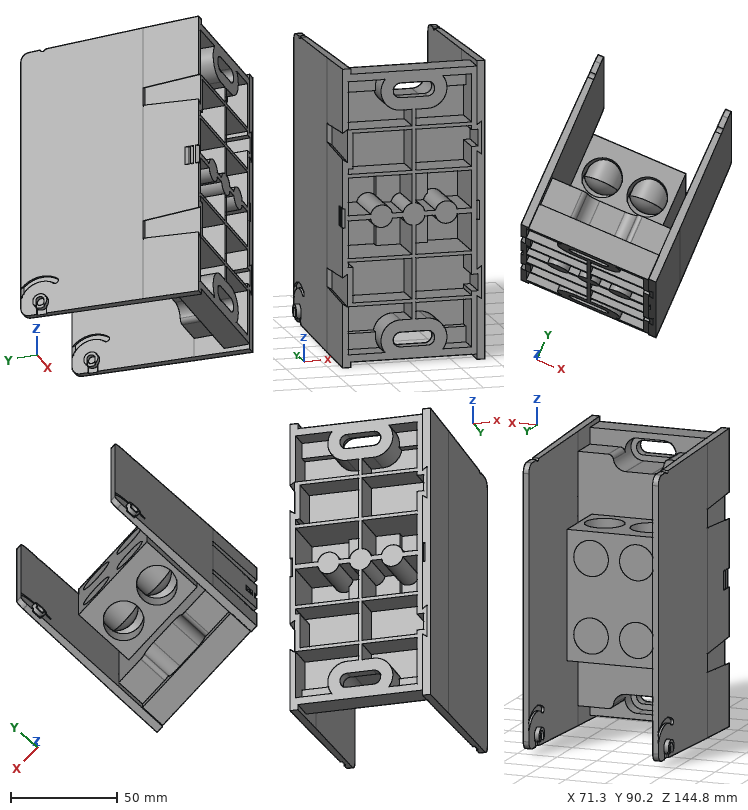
import cadquery as cq
import math


wall_thick = 3.9
wall_draft = 0.5
wall_top_y = 90.2
wall_half_base = 72.4
wall_half_top = 69.2
wall_corner_radius = 4.3

module_width = 65.5
base_depth = 28.1
strip_half = 69.8
strip_depth = 12.9
core_half = 61.7
shell = 2.6
cavity_x0 = 2.8
cavity_x1 = module_width - shell
cavity_half = 58.5
strip_cavity_half = 66.2
mid_x = 34.7

rib_thick = 1.7
rib_outer_z = 42.0
rib_inner_z = 20.4
centre_rib_thick = 2.5
boss_diameter = 10.9
boss_pitch = 15.8
shallow_floor_y = 14.5
raised_floor_y = 21.7
raised_floor_width = 25.2

lug_z = 60.4
lug_spacing = 13.0
lug_diameter = 19.1
slot_diameter = 7.1
slot_depth = 5.4
screw_pocket_diameter = 12.7
screw_pocket_rounding = 2.6

dovetail_z = 35.0
dovetail_depth = 2.3
dovetail_half = 6.4
dovetail_flare = 1.6
dovetail_taper = 1.9
dovetail_lining_x = 4.9
dovetail_lining_end_z = 23.9
tail_hollow_width = 8.1
tail_hollow_reach = 0.6

notch_spans = [(0.0, 1.6), (2.6, 4.2), (4.8, 7.0)]
notch_half = 4.6
notch_depth = 1.2

pin_y = 79.6
pin_z = -63.7
pin_diameter = 7.1
pin_hole_diameter = 4.0
pin_tip_x = -1.9
pin_root_depth = 1.2
pin_hole_depth = 2.2
pin_notch_depth = 1.0
detent_y = 79.0
detent_diameter = 2.9
detent_bite = 1.0
pin_slot_width = 4.9
pin_slot_depth = 0.9
arc_radius = 12.5
arc_width = 2.8
arc_end_angle = 55.0
arc_depth = 1.2
arc_ramp_length = 1.3

block_width = 47.5
block_top_y = 60.1
block_half = 31.9
bore_diameter = 19.1
bore_spacing = 23.2
bore_y = 42.5
bore_length = 17.4
bore_point_angle = 118.0
screw_diameter = 17.5
screw_z = 18.8
screw_shoulder_y = 41.5
screw_dome_height = 4.3

bore_xs = [mid_x - bore_spacing / 2, mid_x + bore_spacing / 2]


def box(x0, x1, y0, y1, z0, z1):
    return cq.Workplane("XY").box(x1 - x0, y1 - y0, z1 - z0, centered=False).translate((x0, y0, z0))


def along_y(sketch_x, sketch_z, y0):
    """A workplane facing +Y with local X along X and local Y along -Z."""
    return cq.Workplane(cq.Plane((sketch_x, y0, sketch_z), (1, 0, 0), (0, 1, 0)))


def along_x(x0, y, z):
    """A workplane facing +X with local X along Y and local Y along Z."""
    return cq.Workplane(cq.Plane((x0, y, z), (0, 1, 0), (1, 0, 0)))


def mirrored(part):
    """The part together with its mirror image about Z = 0."""
    return part.add(part.mirror("XY")).combine()


def stadium(z, diameter, y0, y1):
    return along_y(mid_x, z, y0).slot2D(lug_spacing + diameter, diameter).extrude(y1 - y0)


def dovetail(z):
    """Dovetail bar on the X = 0 face that narrows from the mounting face inwards."""
    def section(wire, half):
        return (
            wire.moveTo(0, z - half)
            .lineTo(dovetail_depth, z - half - dovetail_flare)
            .lineTo(dovetail_depth, z + half + dovetail_flare)
            .lineTo(0, z + half)
            .close()
        )
    foot = section(cq.Workplane("XZ"), dovetail_half)
    return section(foot.workplane(offset=-base_depth), dovetail_half - dovetail_taper).loft(ruled=True)


def wall_blank():
    """Tapered plate: drafted in thickness above the housing and rounded at its free corners."""
    section = [
        (0, 0), (wall_thick, 0), (wall_thick, base_depth), (wall_thick - wall_draft, wall_top_y),
        (wall_draft, wall_top_y), (0, base_depth),
    ]
    plate = (
        cq.Workplane("XY").workplane(offset=-wall_half_base)
        .polyline(section).close().extrude(2 * wall_half_base)
    )
    outline = [
        (0, -wall_half_base), (wall_top_y, -wall_half_top),
        (wall_top_y, wall_half_top), (0, wall_half_base),
    ]
    silhouette = along_x(0, 0, 0).polyline(outline).close().extrude(wall_thick)
    silhouette = silhouette.edges("|X and >Y").fillet(wall_corner_radius)
    return plate.intersect(silhouette)


def wall_notches():
    notches = cq.Workplane("XY")
    for y0, y1 in notch_spans:
        notches.add(
            cq.Workplane("XY").workplane(offset=-notch_half)
            .polyline([(0, y0), (notch_depth, y0), (0, y1)]).close().extrude(2 * notch_half)
        )
    return notches.combine()


def edge_detent():
    """Round groove across the upper edge of the wall."""
    edge_z = wall_half_base - (wall_half_base - wall_half_top) * detent_y / wall_top_y
    centre_z = edge_z + detent_diameter / 2 - detent_bite
    return along_x(0, detent_y, centre_z).circle(detent_diameter / 2).extrude(wall_thick)


def arc_groove(face_x):
    """Groove around the pin, from a round end out to the free edge, where its floor ramps up."""
    inner = arc_radius - arc_width / 2
    outer = arc_radius + arc_width / 2
    end = math.radians(180 - arc_end_angle)
    end_y = pin_y + arc_radius * math.cos(end)
    end_z = pin_z + arc_radius * math.sin(end)
    floor_x = face_x + arc_depth
    ring = along_x(0, pin_y, pin_z).circle(outer).circle(inner).extrude(floor_x)
    sector = (
        along_x(0, pin_y, pin_z)
        .polyline([
            (0, 0), (2 * outer * math.cos(end), 2 * outer * math.sin(end)),
            (2 * outer, 2 * outer), (2 * outer, 0),
        ])
        .close().extrude(floor_x)
    )
    round_end = along_x(0, end_y, end_z).circle(arc_width / 2).extrude(floor_x)
    ramp = (
        cq.Workplane("XY").workplane(offset=pin_z)
        .polyline([(floor_x, wall_top_y - arc_ramp_length), (face_x, wall_top_y), (floor_x, wall_top_y)])
        .close().extrude(outer)
    )
    return ring.intersect(sector).union(round_end).cut(ramp)


def hinge_pin(face_x):
    length = face_x + pin_root_depth - pin_tip_x
    return along_x(pin_tip_x, pin_y, pin_z).circle(pin_diameter / 2).extrude(length)


def side_wall():
    face_x = wall_draft * (pin_y - base_depth) / (wall_top_y - base_depth)
    pin_slot = box(
        0, face_x + pin_slot_depth,
        pin_y - pin_slot_width / 2, pin_y + pin_slot_width / 2, -wall_half_base, pin_z,
    )
    pin_notch = box(
        pin_tip_x, pin_tip_x + pin_notch_depth,
        pin_y - pin_hole_diameter / 2, pin_y + pin_hole_diameter / 2, pin_z - pin_diameter, pin_z,
    )
    pin_hole = along_x(pin_tip_x, pin_y, pin_z).circle(pin_hole_diameter / 2).extrude(pin_hole_depth)
    return (
        wall_blank()
        .cut(mirrored(dovetail(dovetail_z)))
        .cut(wall_notches())
        .cut(edge_detent())
        .cut(arc_groove(face_x))
        .cut(pin_slot)
        .union(hinge_pin(face_x))
        .cut(pin_notch)
        .cut(pin_hole)
    )


def cavity():
    deep = box(cavity_x0, cavity_x1, 0, base_depth - shell, -cavity_half, cavity_half)
    under_strips = box(
        cavity_x0, cavity_x1, 0, strip_depth - shell, -strip_cavity_half, strip_cavity_half,
    )
    return deep.union(under_strips)


def cavity_filling():
    """Ribs, bosses, lugs and raised floors that stand in the cavity."""
    floor_y = base_depth - shell
    centre_rib = box(
        cavity_x0, cavity_x1, 0, floor_y, -centre_rib_thick / 2, centre_rib_thick / 2,
    )
    long_rib = box(mid_x - rib_thick / 2, mid_x + rib_thick / 2, 0, floor_y, -lug_z, lug_z)
    raised_floor = box(
        mid_x - raised_floor_width / 2, mid_x + raised_floor_width / 2,
        raised_floor_y, floor_y, -rib_inner_z, rib_inner_z,
    )
    filling = centre_rib.union(long_rib).union(raised_floor)
    for i in (-1, 0, 1):
        boss = along_y(mid_x + i * boss_pitch, 0, 0).circle(boss_diameter / 2).extrude(floor_y)
        filling = filling.union(boss)

    half_side = box(cavity_x0, cavity_x1, shallow_floor_y, floor_y, rib_inner_z, cavity_half)
    for z in (rib_inner_z, rib_outer_z):
        rib = box(cavity_x0, cavity_x1, 0, floor_y, z - rib_thick / 2, z + rib_thick / 2)
        half_side = half_side.union(rib)
    lining = box(
        cavity_x0, dovetail_lining_x, 0, shallow_floor_y, dovetail_lining_end_z, rib_outer_z,
    )
    lug = stadium(lug_z, lug_diameter, 0, floor_y).intersect(cavity())
    half_side = half_side.union(lining).union(lug)
    return filling.union(mirrored(half_side))


def make_housing():
    core = box(0, module_width, 0, base_depth, -core_half, core_half)
    strips = box(0, module_width, 0, strip_depth, -strip_half, strip_half)
    screw_pocket = mirrored(stadium(lug_z, screw_pocket_diameter, slot_depth, base_depth))
    mouth = mirrored(stadium(lug_z, screw_pocket_diameter, 0, base_depth))
    core = (
        core.cut(mouth)
        .edges("|Y").edges(">Z or <Z").edges("not(<X or >X)")
        .fillet(screw_pocket_rounding)
    )
    shell_body = core.union(strips).cut(mirrored(dovetail(dovetail_z))).cut(wall_notches())
    tails = mirrored(dovetail(dovetail_z)).translate((module_width, 0, 0))
    tail_hollow = box(
        cavity_x1, module_width + tail_hollow_reach, 0, shallow_floor_y,
        dovetail_z - tail_hollow_width / 2, dovetail_z + tail_hollow_width / 2,
    )
    slot = stadium(lug_z, slot_diameter, 0, slot_depth)
    return (
        shell_body.union(side_wall()).union(tails)
        .cut(cavity())
        .union(cavity_filling())
        .cut(mirrored(tail_hollow))
        .cut(mirrored(slot))
        .cut(screw_pocket)
    )


def make_end_plate():
    return side_wall().translate((module_width, 0, 0))


def make_screw(x, z):
    """Set screw with a domed tip, its head flush with the outer face of the block."""
    radius = screw_diameter / 2
    tip_y = screw_shoulder_y - screw_dome_height
    dome_radius = (radius ** 2 + screw_dome_height ** 2) / (2 * screw_dome_height)
    half_angle = math.asin(radius / dome_radius) / 2
    dome_mid = (dome_radius * math.sin(half_angle), tip_y + dome_radius * (1 - math.cos(half_angle)))
    return (
        cq.Workplane("XY").moveTo(0, tip_y)
        .threePointArc(dome_mid, (radius, screw_shoulder_y))
        .lineTo(radius, block_top_y).lineTo(0, block_top_y).close()
        .revolve(360, (0, 0, 0), (0, 1, 0))
        .translate((x, 0, z))
    )


def wire_bore(x):
    """Blind bore from the upper end of the block with a drill-point bottom."""
    radius = bore_diameter / 2
    bottom_z = block_half - bore_length
    point_z = bottom_z - radius / math.tan(math.radians(bore_point_angle / 2))
    return (
        cq.Workplane("XZ")
        .polyline([(0, point_z), (radius, bottom_z), (radius, block_half), (0, block_half)]).close()
        .revolve(360, (0, 0, 0), (0, 1, 0))
        .translate((x, bore_y, 0))
    )


def make_terminal_block():
    block = box(
        mid_x - block_width / 2, mid_x + block_width / 2, base_depth, block_top_y, -block_half, block_half,
    )
    for x in bore_xs:
        screw_hole = along_y(x, screw_z, bore_y).circle(screw_diameter / 2).extrude(block_top_y - bore_y)
        block = block.cut(mirrored(wire_bore(x))).cut(mirrored(screw_hole))
        for z in (-screw_z, screw_z):
            block = block.cut(make_screw(x, z))
    return block


housing = make_housing()
end_plate = make_end_plate()
terminal_block = make_terminal_block()
screws = [make_screw(x, z) for x in bore_xs for z in (-screw_z, screw_z)]

result = cq.Compound.makeCompound(
    [housing.val(), end_plate.val(), terminal_block.val(), *[screw.val() for screw in screws]]
)